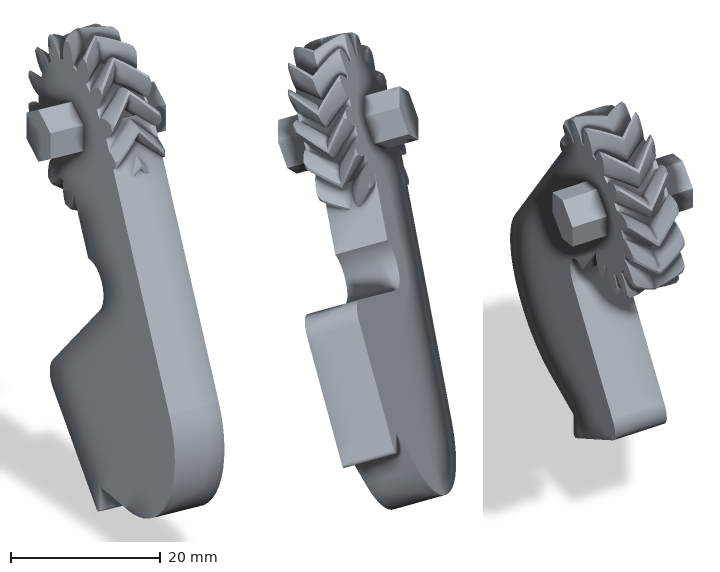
import cadquery as cq
import math


tooth_count = 15
pressure_angle = math.radians(27)
helix_angle = math.radians(45)
thickness = 7.5
pitch_radius = 11.2
tip_radius = 12.75
tip_margin = 0.1
tip_chamfer = 0.35
root_radius = 9.3
half_twist = thickness / 2 * math.tan(helix_angle) / pitch_radius
base_radius = pitch_radius * math.cos(pressure_angle)

shaft_length = 17.5
shaft_across_flats = 6.8

arm_lean = math.radians(28.2)
back_offset = 10.0
front_offset = 4.1
notch_x, notch_z = 5.3, -21.2
notch_radius = 3.75
heel_radius = 13.4
heel_bottom = -50.2
spur_x = 7.9
spur_bottom = -54.3
spur_radius = 0.5
jaw_slope = math.radians(45.5)
jaw_radius = 3.0


def polar(radius, angle):
    return radius * math.cos(angle), radius * math.sin(angle)


def involute_roll(radius):
    """Polar angle swept by the base-circle involute when it reaches the radius."""
    pressure = math.acos(base_radius / radius)
    return math.tan(pressure) - pressure


def flank_half_angle(radius):
    """Half the angle a tooth takes up at the radius."""
    at_pitch = math.pi / (2 * tooth_count)
    return at_pitch + involute_roll(pitch_radius) - involute_roll(radius)


def gear_outline():
    """Involute teeth with radial roots, drawn as they lie on the middle plane."""
    pitch = 2 * math.pi / tooth_count
    flank_middle = (base_radius + tip_radius) / 2
    base_half = flank_half_angle(base_radius)
    middle_half = flank_half_angle(flank_middle)
    tip_half = flank_half_angle(tip_radius)
    outline = cq.Workplane("XZ").moveTo(*polar(root_radius, half_twist - base_half))
    for tooth in range(tooth_count):
        axis = half_twist + tooth * pitch
        outline = (
            outline.lineTo(*polar(base_radius, axis - base_half))
            .threePointArc(polar(flank_middle, axis - middle_half), polar(tip_radius, axis - tip_half))
            .threePointArc(polar(tip_radius, axis), polar(tip_radius, axis + tip_half))
            .threePointArc(polar(flank_middle, axis + middle_half), polar(base_radius, axis + base_half))
            .lineTo(*polar(root_radius, axis + base_half))
            .threePointArc(
                polar(root_radius, axis + pitch / 2),
                polar(root_radius, axis + pitch - base_half),
            )
        )
    return outline.close()


def herringbone_gear():
    half = gear_outline().twistExtrude(thickness / 2, -math.degrees(half_twist))
    teeth = half.union(half.mirror("XZ"))
    envelope = (
        cq.Workplane("XZ")
        .circle(tip_radius + tip_margin)
        .extrude(thickness / 2, both=True)
        .edges()
        .chamfer(tip_chamfer + tip_margin)
    )
    return teeth.intersect(envelope)


def round_corner(plate, x, z, radius):
    """Round the edge that crosses the plate's thickness at the given corner."""
    nearest = cq.selectors.NearestToPointSelector((x, 0, z))
    return plate.edges(nearest).fillet(radius)


def arm():
    along_x, along_z = math.sin(arm_lean), -math.cos(arm_lean)
    out_x, out_z = math.cos(arm_lean), math.sin(arm_lean)

    back_top = (back_offset * out_x, back_offset * out_z)
    front_top = (-front_offset * out_x, -front_offset * out_z)

    heel_z = heel_bottom + heel_radius
    heel_x = (back_offset - heel_radius - heel_z * out_z) / out_x
    heel_start = (heel_x + heel_radius * out_x, heel_z + heel_radius * out_z)
    heel_turn = (arm_lean - math.pi / 2) / 2
    heel_middle = (
        heel_x + heel_radius * math.cos(heel_turn),
        heel_z + heel_radius * math.sin(heel_turn),
    )

    half_spur = (math.pi / 2 - jaw_slope) / 2
    spur_tip_z = spur_bottom + spur_radius - spur_radius / math.tan(half_spur)

    notch_start = (
        notch_x + notch_radius * math.sin(jaw_slope),
        notch_z - notch_radius * math.cos(jaw_slope),
    )
    notch_right = (notch_x + notch_radius, notch_z)
    depth = -front_offset - (notch_x * out_x + notch_z * out_z)
    run = notch_x * along_x + notch_z * along_z - math.sqrt(notch_radius**2 - depth**2)
    notch_end = (
        run * along_x - front_offset * out_x,
        run * along_z - front_offset * out_z,
    )

    slope = math.tan(jaw_slope)
    jaw_level = notch_start[1] - slope * notch_start[0]
    toe_level = spur_tip_z + slope * spur_x
    jaw_corner = ((toe_level - jaw_level) / (2 * slope), (toe_level + jaw_level) / 2)

    plate = (
        cq.Workplane("XZ", origin=(0, thickness / 2, 0))
        .moveTo(*back_top)
        .lineTo(*heel_start)
        .threePointArc(heel_middle, (heel_x, heel_bottom))
        .lineTo(spur_x, heel_bottom)
        .lineTo(spur_x, spur_tip_z)
        .lineTo(*jaw_corner)
        .lineTo(*notch_start)
        .threePointArc(notch_right, notch_end)
        .lineTo(*front_top)
        .close()
        .extrude(thickness)
    )
    plate = round_corner(plate, spur_x, spur_tip_z, spur_radius)
    return round_corner(plate, *jaw_corner, jaw_radius)


def shaft():
    corner_diameter = shaft_across_flats / math.cos(math.pi / 6)
    return (
        cq.Workplane("XZ")
        .transformed(rotate=(0, 0, 30))
        .polygon(6, corner_diameter)
        .extrude(shaft_length / 2, both=True)
    )


result = herringbone_gear().union(arm()).union(shaft())